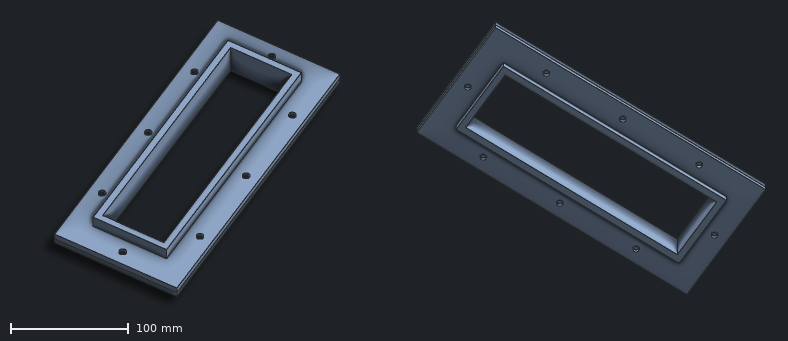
import cadquery as cq

flange_width = 120.0
flange_length = 276.0
flange_thickness = 6.0
ring_thickness = 5.0

flange_margin = 24.0
tube_width = flange_width - 2 * flange_margin
tube_length = flange_length - 2 * flange_margin
opening_width = 60.0
opening_length = 216.0
tube_height = 30.0
tube_above_flange = 12.0
tube_bottom = flange_thickness + tube_above_flange - tube_height

frame_hole_diameter = 6.3
ring_hole_diameter = 5.5
side_hole_pitch = 78.0
hole_x = (flange_width - flange_margin) / 2
hole_y = (flange_length - flange_margin) / 2
side_holes = [(x, row * side_hole_pitch) for x in (-hole_x, hole_x) for row in (-1, 0, 1)]
end_holes = [(0, -hole_y), (0, hole_y)]
hole_centres = side_holes + end_holes


def block(width, length, bottom, height):
    """Rectangular block centred on the Z axis."""
    return cq.Workplane("XY").workplane(offset=bottom).rect(width, length).extrude(height)


def drilled_plate(bottom, thickness, hole_diameter):
    """Flange-sized plate with the bolt holes through it."""
    plate = block(flange_width, flange_length, bottom, thickness)
    holes = (
        cq.Workplane("XY")
        .workplane(offset=bottom)
        .pushPoints(hole_centres)
        .circle(hole_diameter / 2)
        .extrude(thickness)
    )
    return plate.cut(holes)


def make_frame():
    """Full-height rectangular tube with a flange around it."""
    flange = drilled_plate(0, flange_thickness, frame_hole_diameter)
    tube = block(tube_width, tube_length, tube_bottom, tube_height)
    opening = block(opening_width, opening_length, tube_bottom, tube_height)
    return flange.union(tube).cut(opening)


def make_clamp_ring():
    """Flat ring under the flange, fitting closely around the tube."""
    plate = drilled_plate(-ring_thickness, ring_thickness, ring_hole_diameter)
    tube_cutout = block(tube_width, tube_length, -ring_thickness, ring_thickness)
    return plate.cut(tube_cutout)


frame = make_frame()
clamp_ring = make_clamp_ring()

result = cq.Compound.makeCompound([frame.val(), clamp_ring.val()])